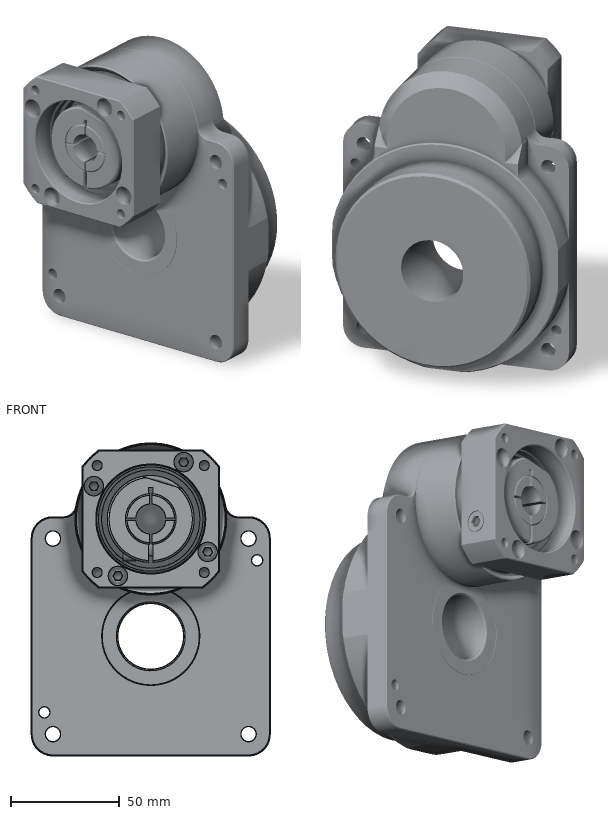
import cadquery as cq
import math


PLATE_SIZE = 110.0
PLATE_HALF = PLATE_SIZE / 2
PLATE_THICKNESS = 11.5
PLATE_CORNER_RADIUS = 10.0
MOUNT_HOLE_SPACING = 90.0
MOUNT_HOLE_DIAMETER = 6.9
DOWEL_X = 49.0
DOWEL_Z = 35.0
DOWEL_DIAMETER = 5.0
DISC_RADIUS = 56.0
DISC_BACK_Y = 26.8
DISC_CHAMFER = 0.6
PILOT_RADIUS = 47.5
PILOT_BACK_Y = 44.8
PILOT_CHAMFER = 1.2
BORE_RADIUS = 15.1
BORE_CHAMFER = 0.7
SHAFT_RING_RADIUS = 22.3
SHAFT_RING_GAP = 0.3
EDGE_CHAMFER = 0.5

INPUT_Z = 54.0
INPUT_RADIUS = 35.0
INPUT_BACK_Y = 25.3
INPUT_FRONT_Y = -24.0
INPUT_BACK_CHAMFER = 6.0
RELIEF_RADIUS = 34.3
SEAT_RADIUS = 31.4
NECK_TOP = 3.6
NECK_BACK_DROP = 7.6
PLATE_BLEND_RADIUS = 5.8
DISC_BLEND_RADIUS = 5.3

HUB_RADIUS = 20.0
HUB_CHAMFER = 0.9
HUB_FRONT_Y = -40.3
HUB_LENGTH = INPUT_FRONT_Y - HUB_FRONT_Y
HUB_SLOT_WIDTH = 2.2
HUB_SLOT_TOP = 14.4
HUB_FLAT_DISTANCE = 17.5
HUB_FLAT_ANGLE = 73.0
HUB_FLAT_DEPTH = 5.8
COLLET_RADIUS = 11.7
COLLET_CHAMFER = 0.7
COLLET_BORE_RADIUS = 6.9
COLLET_SLIT_WIDTH = 1.2
CLAMP_SCREW_Y = -34.1
CLAMP_SCREW_Z = -14.1
CLAMP_HEAD_RADIUS = 5.3
CLAMP_HEAD_X = -12.7
CLAMP_HEAD_LENGTH = 5.8
CLAMP_SHANK_RADIUS = 3.0
CLAMP_SHANK_END_X = 7.2

ADAPTER_SIZE = 63.4
ADAPTER_CORNER_RADIUS = 39.7
ADAPTER_FRONT_Y = -45.6
ADAPTER_BACK_Y = -25.3
CENTRING_RADIUS = 24.9
CENTRING_DEPTH = 11.5
CENTRING_CHAMFER = 0.5
STEP_RADIUS = 24.0
STEP_DEPTH = 15.8
CLEARANCE_RADIUS = 22.6
MOTOR_HOLE_SPACING = 49.2
MOTOR_HOLE_DIAMETER = 4.6
MOTOR_HOLE_DEPTH = 11.5
DRILL_POINT_ANGLE = 118.0
SCREW_CIRCLE_RADIUS = 30.2
SCREW_FIRST_ANGLE = 60.0
SCREW_COUNT = 4
SCREW_HEAD_RADIUS = 4.5
SCREW_HEAD_DEPTH = 13.0
SCREW_SOCKET_DIAMETER = 4.6
SCREW_SOCKET_DEPTH = 2.2
PLUG_RADIUS = 5.0
PLUG_RING_WIDTH = 0.6
PLUG_RING_DEPTH = 0.6
PLUG_SOCKET_DIAMETER = 5.6
PLUG_SOCKET_DEPTH = 2.2


def plane_at(y, z=0.0):
    """Sketch plane facing -Y, with local x along X and local y along Z."""
    return cq.Workplane("XZ", origin=(0, y, z))


def rod(radius, y_front, y_back, x=0.0, z=0.0):
    """Round rod along Y between two Y positions."""
    return plane_at(y_back).center(x, z).circle(radius).extrude(y_back - y_front)


def ring(outer, inner, y_front, y_back, z=0.0):
    """Hollow round ring along Y."""
    return rod(outer, y_front, y_back, z=z).cut(rod(inner, y_front, y_back, z=z))


def turned(profile):
    """Solid of revolution about the Y axis from (radius, Y) points."""
    return cq.Workplane("XY").polyline(profile).close().revolve(360, (0, 0, 0), (0, 1, 0))


def bar(x_min, x_max, y_front, y_back, z_min, z_max):
    """Rectangular block given by its limits."""
    size = (x_max - x_min, y_back - y_front, z_max - z_min)
    return cq.Workplane("XY").box(*size, centered=False).translate((x_min, y_front, z_min))


def blend(points, centre, radius, y_front, y_back):
    """Pair of mirrored concave fillets: a triangle less a circle tangent to its neighbours."""
    web = plane_at(y_back).polyline(points).close().extrude(y_back - y_front)
    web = web.cut(rod(radius, y_front, y_back, *centre))
    return web.union(web.mirror("YZ"))


def mounting_plate():
    plate = plane_at(PLATE_THICKNESS).rect(PLATE_SIZE, PLATE_SIZE).extrude(PLATE_THICKNESS)
    plate = plate.edges("|Y").fillet(PLATE_CORNER_RADIUS)
    input_rod = rod(INPUT_RADIUS, 0, PLATE_THICKNESS, z=INPUT_Z)

    centre_z = PLATE_HALF + PLATE_BLEND_RADIUS
    reach = INPUT_RADIUS + PLATE_BLEND_RADIUS
    centre_x = math.sqrt(reach ** 2 - (centre_z - INPUT_Z) ** 2)
    corners = [(0, INPUT_Z), (centre_x, centre_z), (centre_x, INPUT_Z)]
    fillets = blend(corners, (centre_x, centre_z), PLATE_BLEND_RADIUS, 0, PLATE_THICKNESS)
    plate = plate.union(input_rod).union(fillets).clean()
    return plate.faces("<Y").edges().chamfer(EDGE_CHAMFER)


def output_disc():
    disc = rod(DISC_RADIUS, PLATE_THICKNESS, DISC_BACK_Y).faces(">Y").chamfer(DISC_CHAMFER)
    limits = bar(-PLATE_HALF, PLATE_HALF, 0, DISC_BACK_Y, -PLATE_HALF, PLATE_SIZE)
    pilot = rod(PILOT_RADIUS, PLATE_THICKNESS, PILOT_BACK_Y).faces(">Y").chamfer(PILOT_CHAMFER)
    return disc.intersect(limits).union(pilot)


def neck():
    """Straight-sided block joining the output disc to the input cylinder."""
    top = INPUT_Z + NECK_TOP
    side = [
        (PLATE_THICKNESS, 0),
        (PLATE_THICKNESS, top),
        (INPUT_BACK_Y - INPUT_BACK_CHAMFER, top),
        (INPUT_BACK_Y, top - NECK_BACK_DROP),
        (INPUT_BACK_Y, 0),
    ]
    block = cq.Workplane("YZ").polyline(side).close().extrude(INPUT_RADIUS, both=True)
    centre_x = INPUT_RADIUS + DISC_BLEND_RADIUS
    centre_z = math.sqrt((DISC_RADIUS + DISC_BLEND_RADIUS) ** 2 - centre_x ** 2)
    corners = [(0, 0), (centre_x, centre_z), (0, centre_z)]
    fillets = blend(corners, (centre_x, centre_z), DISC_BLEND_RADIUS, PLATE_THICKNESS, INPUT_BACK_Y)
    return block.union(fillets)


def input_cylinder():
    rear = rod(INPUT_RADIUS, EDGE_CHAMFER, INPUT_BACK_Y, z=INPUT_Z)
    rear = rear.faces(">Y").chamfer(INPUT_BACK_CHAMFER)
    front = rod(INPUT_RADIUS, INPUT_FRONT_Y, 0, z=INPUT_Z).faces("<Y or >Y").chamfer(EDGE_CHAMFER)
    joint = rod(INPUT_RADIUS - EDGE_CHAMFER, INPUT_FRONT_Y, INPUT_BACK_Y - INPUT_BACK_CHAMFER, z=INPUT_Z)
    relief_depth = RELIEF_RADIUS - SEAT_RADIUS
    relief_profile = [
        (SEAT_RADIUS, INPUT_FRONT_Y),
        (RELIEF_RADIUS, INPUT_FRONT_Y),
        (SEAT_RADIUS, INPUT_FRONT_Y + relief_depth),
    ]
    relief = turned(relief_profile)
    return rear.union(front).union(joint).cut(relief.translate((0, 0, INPUT_Z)))


def clamp_screw():
    """Head and shank of the screw across the hub slot, along X, built about Z = 0."""
    start = cq.Workplane("YZ", origin=(CLAMP_HEAD_X, CLAMP_SCREW_Y, CLAMP_SCREW_Z))
    head = start.circle(CLAMP_HEAD_RADIUS).extrude(CLAMP_HEAD_LENGTH)
    shank = start.circle(CLAMP_SHANK_RADIUS).extrude(CLAMP_SHANK_END_X - CLAMP_HEAD_X)
    return head.union(shank)


def clamping_hub():
    """Split hub with a slotted collet at its centre, built about Z = 0."""
    hub = rod(HUB_RADIUS, HUB_FRONT_Y, INPUT_FRONT_Y).faces("<Y").chamfer(HUB_CHAMFER)
    flat = bar(-HUB_RADIUS, HUB_RADIUS, HUB_FRONT_Y, HUB_FRONT_Y + HUB_FLAT_DEPTH,
               HUB_FLAT_DISTANCE, HUB_RADIUS)
    flat = flat.rotate((0, 0, 0), (0, 1, 0), 90 - HUB_FLAT_ANGLE)
    slot_half = HUB_SLOT_WIDTH / 2
    clamp_slot = bar(-slot_half, slot_half, HUB_FRONT_Y, INPUT_FRONT_Y, -HUB_RADIUS, -COLLET_RADIUS)
    short_slot = bar(-slot_half, slot_half, HUB_FRONT_Y, INPUT_FRONT_Y, COLLET_RADIUS, HUB_SLOT_TOP)
    gap_profile = [
        (COLLET_RADIUS - COLLET_CHAMFER, HUB_FRONT_Y),
        (COLLET_RADIUS, HUB_FRONT_Y),
        (COLLET_RADIUS, HUB_FRONT_Y + COLLET_CHAMFER),
    ]
    gap = turned(gap_profile)
    bore = rod(COLLET_BORE_RADIUS, HUB_FRONT_Y, INPUT_FRONT_Y)
    slit_length = 2 * COLLET_RADIUS
    for cutter in (flat, clamp_slot, short_slot, gap, bore):
        hub = hub.cut(cutter)
    slits = plane_at(INPUT_FRONT_Y).rect(slit_length, COLLET_SLIT_WIDTH).extrude(HUB_LENGTH)
    hub = hub.cut(slits).cut(slits.rotate((0, 0, 0), (0, 1, 0), 90))
    return hub.union(clamp_screw()).translate((0, 0, INPUT_Z))


def plate_holes():
    mounts = (
        plane_at(PLATE_THICKNESS)
        .rect(MOUNT_HOLE_SPACING, MOUNT_HOLE_SPACING, forConstruction=True)
        .vertices()
        .circle(MOUNT_HOLE_DIAMETER / 2)
        .extrude(PLATE_THICKNESS)
    )
    dowels = (
        plane_at(DISC_BACK_Y)
        .pushPoints([(DOWEL_X, DOWEL_Z), (-DOWEL_X, -DOWEL_Z)])
        .circle(DOWEL_DIAMETER / 2)
        .extrude(DISC_BACK_Y)
    )
    return mounts.union(dowels)


def output_bore():
    """Through bore with a chamfered mouth, and the fine gap around the hollow shaft."""
    mouth = plane_at(0).circle(BORE_RADIUS + BORE_CHAMFER)
    mouth = mouth.workplane(offset=-BORE_CHAMFER).circle(BORE_RADIUS).loft()
    bore = rod(BORE_RADIUS, 0, PILOT_BACK_Y).union(mouth)
    return bore.union(ring(SHAFT_RING_RADIUS + SHAFT_RING_GAP, SHAFT_RING_RADIUS, 0, SHAFT_RING_GAP))


def make_housing():
    body = mounting_plate().union(output_disc()).union(neck())
    body = body.cut(plate_holes()).cut(output_bore())
    return body.union(input_cylinder()).union(clamping_hub())


def adapter_blank():
    depth = ADAPTER_BACK_Y - ADAPTER_FRONT_Y
    square = plane_at(ADAPTER_BACK_Y).rect(ADAPTER_SIZE, ADAPTER_SIZE).extrude(depth)
    block = square.intersect(rod(ADAPTER_CORNER_RADIUS, ADAPTER_FRONT_Y, ADAPTER_BACK_Y))
    block = block.faces("<Y").edges().chamfer(EDGE_CHAMFER)
    return block.union(rod(SEAT_RADIUS, ADAPTER_BACK_Y, INPUT_FRONT_Y))


def centring_bore():
    bore = rod(CENTRING_RADIUS, ADAPTER_FRONT_Y, ADAPTER_FRONT_Y + CENTRING_DEPTH)
    mouth = plane_at(ADAPTER_FRONT_Y).circle(CENTRING_RADIUS + CENTRING_CHAMFER)
    mouth = mouth.workplane(offset=-CENTRING_CHAMFER).circle(CENTRING_RADIUS).loft()
    step = rod(STEP_RADIUS, ADAPTER_FRONT_Y, ADAPTER_FRONT_Y + STEP_DEPTH)
    return bore.union(mouth).union(step).union(rod(CLEARANCE_RADIUS, ADAPTER_FRONT_Y, INPUT_FRONT_Y))


def drill_point(radius, floor_y):
    """Cone left by a drill beyond the floor of a hole."""
    tip_y = floor_y + radius / math.tan(math.radians(DRILL_POINT_ANGLE / 2))
    return turned([(0, floor_y), (radius, floor_y), (0, tip_y)])


def motor_hole():
    """Blind drilled hole, its axis on Y."""
    radius = MOTOR_HOLE_DIAMETER / 2
    floor_y = ADAPTER_FRONT_Y + MOTOR_HOLE_DEPTH
    return rod(radius, ADAPTER_FRONT_Y, floor_y).union(drill_point(radius, floor_y))


def screw_recess():
    """Counterbore ending at the screw head, with the hexagon socket in the head."""
    head_y = ADAPTER_FRONT_Y + SCREW_HEAD_DEPTH
    floor_y = head_y + SCREW_SOCKET_DEPTH
    socket = plane_at(floor_y).polygon(6, SCREW_SOCKET_DIAMETER).extrude(SCREW_SOCKET_DEPTH)
    flat_radius = SCREW_SOCKET_DIAMETER / 2 * math.cos(math.pi / 6)
    recess = rod(SCREW_HEAD_RADIUS, ADAPTER_FRONT_Y, head_y).union(socket)
    return recess.union(drill_point(flat_radius, floor_y))


def plug_recess():
    """Ring groove and hexagon socket that mark the plug of the clamp screw access hole."""
    face = cq.Workplane("YZ", origin=(-ADAPTER_SIZE / 2, CLAMP_SCREW_Y, CLAMP_SCREW_Z))
    groove = face.circle(PLUG_RADIUS).circle(PLUG_RADIUS - PLUG_RING_WIDTH).extrude(PLUG_RING_DEPTH)
    return groove.union(face.polygon(6, PLUG_SOCKET_DIAMETER).extrude(PLUG_SOCKET_DEPTH))


def make_adapter():
    adapter = adapter_blank().cut(centring_bore()).cut(plug_recess())
    hole_offset = MOTOR_HOLE_SPACING / 2
    for x in (-hole_offset, hole_offset):
        for z in (-hole_offset, hole_offset):
            adapter = adapter.cut(motor_hole().translate((x, 0, z)))
    for i in range(SCREW_COUNT):
        angle = math.radians(SCREW_FIRST_ANGLE + i * 360 / SCREW_COUNT)
        x = SCREW_CIRCLE_RADIUS * math.cos(angle)
        z = SCREW_CIRCLE_RADIUS * math.sin(angle)
        adapter = adapter.cut(screw_recess().translate((x, 0, z)))
    return adapter.translate((0, 0, INPUT_Z))


housing = make_housing()
motor_adapter = make_adapter()

result = cq.Compound.makeCompound([housing.val(), motor_adapter.val()])